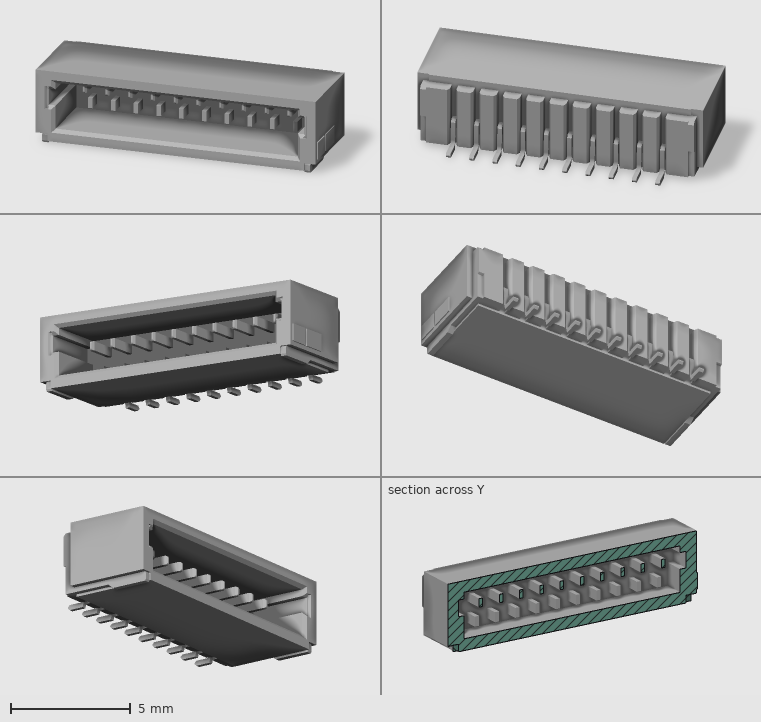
import cadquery as cq


BODY_WIDTH = 12.31
HALF_WIDTH = BODY_WIDTH / 2
TOP_Z = 3.2
SIDE_BOTTOM_Z = 0.42
BASE_BOTTOM_Z = 0.09
SIDE_REAR_Y = 3.75
CORE_REAR_Y = 3.81

TAB_THICKNESS = 0.26
TAB_INNER_X = 5.64
TAB_FRONT_Y = 0.06
TAB_RAISED_Z = 0.2
TAB_FOOT_REAR_Y = 1.73
TAB_FOOT_SLOPE = 0.27
TAB_CORNER_CHAMFER = 0.12
TAB_NOTCH_TOP_Z = 1.46
TAB_NOTCH_DEPTH = 0.11
TAB_NOTCH_SLOPE = 0.05
TAB_NOSE_HEIGHT = 0.09
TAB_NOSE_DEPTH = 0.04

REAR_BLOCK_Y = 4.3
REAR_BLOCK_TOP_Z = 2.88
SLOT_WIDTH = 0.27
SLOT_MOUTH_WIDTH = 0.45
SLOT_MOUTH_DEPTH = 0.16

CAVITY_HALF_WIDTH = 5.33
CAVITY_BOTTOM_Z = 0.63
CAVITY_TOP_Z = 2.67
CAVITY_DEPTH = 2.84
KEY_HALF_WIDTH = 5.61
KEY_BOTTOM_Z = 1.66
KEY_TOP_Z = 2.37
RIM_CHAMFER = 0.15
KEY_RECESS_DEPTH = 0.1
KEY_RECESS_SLOPE = 0.06

CONTACT_COUNT = 10
CONTACT_PITCH = 1.0
CONTACT_WIDTH = 0.2
FOOT_END_Y = 5.0
FOOT_THICKNESS = 0.22
FOOT_CHAMFER = 0.09
LEG_BASE_REAR_Y = 4.2
LEG_BEND_RADIUS = 0.2
LEG_TOP_REAR_Y = 4.17
LEG_BASE_FRONT_Y = 4.25
LEG_TOP_FRONT_Y = 4.03
LEG_CORNER_CHAMFER = 0.11
ARM_BOTTOM_Z = 0.91
ARM_TOP_Z = 1.36
PIN_BOTTOM_Z = 1.87
PIN_TOP_Z = 2.26
ARM_REACH = 0.62
PIN_REACH = 1.48
PIN_TIP_TAPER = 0.06
PIN_TIP_LENGTH = 0.12
PIN_TIP_RADIUS = 0.1

PAD_HEIGHT = 12.36 - BODY_WIDTH
PAD_BOTTOM_Z = 0.6
PAD_TOP_Z = 1.35
PAD_SPANS_Y = [(0.15, 1.09), (1.24, 2.35)]

contact_positions = [(i - (CONTACT_COUNT - 1) / 2) * CONTACT_PITCH for i in range(CONTACT_COUNT)]


def block(x_span, y_span, z_span):
    """Box between the given limits along each axis."""
    (x0, x1), (y0, y1), (z0, z1) = x_span, y_span, z_span
    return cq.Workplane("XY").box(x1 - x0, y1 - y0, z1 - z0, centered=False).translate((x0, y0, z0))


def side_profile(points, x_center, width):
    """Solid with a (Y, Z) outline, centred on x_center along X."""
    return cq.Workplane("YZ", origin=(x_center, 0, 0)).polyline(points).close().extrude(width / 2, both=True)


def cavity_outline(plane_y, margin):
    """Cavity outline with its two keyways, grown outward by margin, on a plane facing the rear."""
    half, key_half = CAVITY_HALF_WIDTH + margin, KEY_HALF_WIDTH + margin
    bottom, top = CAVITY_BOTTOM_Z - margin, CAVITY_TOP_Z + margin
    key_bottom, key_top = KEY_BOTTOM_Z - margin, KEY_TOP_Z + margin
    right_side = [
        (half, bottom),
        (half, key_bottom),
        (key_half, key_bottom),
        (key_half, key_top),
        (half, key_top),
        (half, top),
    ]
    left_side = [(-x, z) for x, z in reversed(right_side)]
    points = [cq.Vector(x, plane_y, z) for x, z in right_side + left_side]
    return cq.Wire.makePolygon(points, close=True)


def make_cavity():
    inner = cavity_outline(0, 0)
    cavity = cq.Workplane(cq.Solid.extrudeLinear(inner, [], cq.Vector(0, CAVITY_DEPTH, 0)))
    rim = cq.Solid.makeLoft([cavity_outline(0, RIM_CHAMFER), cavity_outline(RIM_CHAMFER, 0)], True)
    return cavity.union(cq.Workplane(rim))


def make_key_recess(side):
    """Shallow step with a sloped end at the mouth of one keyway; side is -1 or 1."""
    outer_x = KEY_HALF_WIDTH + RIM_CHAMFER
    outline = [
        (side * KEY_HALF_WIDTH, 0),
        (side * outer_x, 0),
        (side * (outer_x - KEY_RECESS_SLOPE), KEY_RECESS_DEPTH),
        (side * KEY_HALF_WIDTH, KEY_RECESS_DEPTH),
    ]
    height = KEY_TOP_Z - KEY_BOTTOM_Z + 2 * RIM_CHAMFER
    base = cq.Workplane("XY", origin=(0, 0, KEY_BOTTOM_Z - RIM_CHAMFER))
    return base.polyline(outline).close().extrude(height)


def make_slot(x_center):
    """Vertical slot in the rear block with a flared mouth."""
    half, mouth_half = SLOT_WIDTH / 2, SLOT_MOUTH_WIDTH / 2
    flare_y = REAR_BLOCK_Y - SLOT_MOUTH_DEPTH
    outline = [
        (-half, CORE_REAR_Y),
        (half, CORE_REAR_Y),
        (half, flare_y),
        (mouth_half, REAR_BLOCK_Y),
        (-mouth_half, REAR_BLOCK_Y),
        (-half, flare_y),
    ]
    return cq.Workplane("XY", origin=(x_center, 0, 0)).polyline(outline).close().extrude(TOP_Z)


def make_bent_strip(x_center):
    """Solder foot, leaning leg, and an arm that passes forward through the rear wall."""
    arm_front_y = CAVITY_DEPTH - ARM_REACH
    outline = [
        (FOOT_END_Y - FOOT_CHAMFER, 0),
        (FOOT_END_Y, FOOT_CHAMFER),
        (FOOT_END_Y, FOOT_THICKNESS - FOOT_CHAMFER),
        (FOOT_END_Y - FOOT_CHAMFER, FOOT_THICKNESS),
        (LEG_BASE_REAR_Y, FOOT_THICKNESS),
        (LEG_TOP_REAR_Y, ARM_TOP_Z - LEG_CORNER_CHAMFER),
        (LEG_TOP_REAR_Y - LEG_CORNER_CHAMFER, ARM_TOP_Z),
        (arm_front_y, ARM_TOP_Z),
        (arm_front_y, ARM_BOTTOM_Z),
        (LEG_TOP_FRONT_Y, ARM_BOTTOM_Z),
        (LEG_BASE_FRONT_Y, 0),
    ]
    strip = side_profile(outline, x_center, CONTACT_WIDTH)
    bend_edge = cq.NearestToPointSelector((x_center, LEG_BASE_REAR_Y, FOOT_THICKNESS))
    return strip.edges(bend_edge).fillet(LEG_BEND_RADIUS)


def make_pin(x_center):
    """Mating pin with tapered sides and a rounded top and bottom at its tip."""
    half = CONTACT_WIDTH / 2
    tip_y = CAVITY_DEPTH - PIN_REACH
    plan = [
        (-half, CAVITY_DEPTH),
        (-half, tip_y + PIN_TIP_LENGTH),
        (-half + PIN_TIP_TAPER, tip_y),
        (half - PIN_TIP_TAPER, tip_y),
        (half, tip_y + PIN_TIP_LENGTH),
        (half, CAVITY_DEPTH),
    ]
    base = cq.Workplane("XY", origin=(x_center, 0, PIN_BOTTOM_Z))
    tapered = base.polyline(plan).close().extrude(PIN_TOP_Z - PIN_BOTTOM_Z)
    bar = block((x_center - half, x_center + half), (tip_y, CAVITY_DEPTH), (PIN_BOTTOM_Z, PIN_TOP_Z))
    return bar.edges("|X and <Y").fillet(PIN_TIP_RADIUS).intersect(tapered)


def make_housing():
    core_x = (-TAB_INNER_X, TAB_INNER_X)
    shell = block((-HALF_WIDTH, HALF_WIDTH), (0, SIDE_REAR_Y), (SIDE_BOTTOM_Z, TOP_Z))
    core = block(core_x, (0, CORE_REAR_Y), (BASE_BOTTOM_Z, TOP_Z))
    rear_block = block(core_x, (CORE_REAR_Y, REAR_BLOCK_Y), (TAB_RAISED_Z, REAR_BLOCK_TOP_Z))
    body = shell.union(core).union(rear_block).cut(make_cavity())
    for side in (-1, 1):
        body = body.cut(make_key_recess(side))
    for x_center in contact_positions:
        body = body.cut(make_slot(x_center)).union(make_bent_strip(x_center)).union(make_pin(x_center))
    for pad_y in PAD_SPANS_Y:
        body = body.union(block((HALF_WIDTH, HALF_WIDTH + PAD_HEIGHT), pad_y, (PAD_BOTTOM_Z, PAD_TOP_Z)))
    return body


def make_tab(side):
    """Solder tab under one side of the shell and up its rear; side is -1 or 1."""
    notch_y = REAR_BLOCK_Y - TAB_NOTCH_DEPTH
    outline = [
        (TAB_FRONT_Y + TAB_NOSE_DEPTH, 0),
        (TAB_FOOT_REAR_Y, 0),
        (TAB_FOOT_REAR_Y + TAB_FOOT_SLOPE, TAB_RAISED_Z),
        (notch_y, TAB_RAISED_Z),
        (notch_y, TAB_NOTCH_TOP_Z - TAB_NOTCH_SLOPE),
        (REAR_BLOCK_Y, TAB_NOTCH_TOP_Z),
        (REAR_BLOCK_Y, REAR_BLOCK_TOP_Z - TAB_CORNER_CHAMFER),
        (REAR_BLOCK_Y - TAB_CORNER_CHAMFER, REAR_BLOCK_TOP_Z),
        (SIDE_REAR_Y, REAR_BLOCK_TOP_Z),
        (SIDE_REAR_Y, SIDE_BOTTOM_Z),
        (TAB_FRONT_Y + TAB_NOSE_DEPTH, SIDE_BOTTOM_Z),
        (TAB_FRONT_Y, SIDE_BOTTOM_Z - TAB_NOSE_HEIGHT),
        (TAB_FRONT_Y, TAB_NOSE_HEIGHT),
    ]
    return side_profile(outline, side * (TAB_INNER_X + TAB_THICKNESS / 2), TAB_THICKNESS)


housing = make_housing()
tabs = [make_tab(side) for side in (-1, 1)]

result = cq.Compound.makeCompound([housing.val(), *[tab.val() for tab in tabs]])